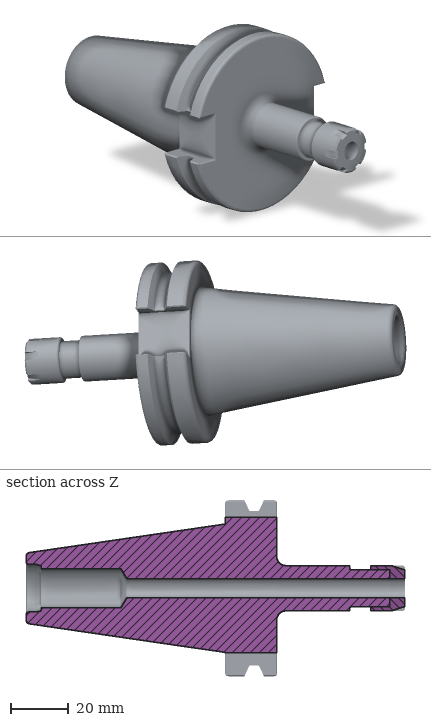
import cadquery as cq
import math


GAUGE_DIAMETER = 44.4
TAPER_LENGTH = 68.0
TAPER_SLOPE = 7 / 48
SMALL_END_RADIUS = GAUGE_DIAMETER / 2 - TAPER_LENGTH * TAPER_SLOPE
SMALL_END_FILLET = 1.6
COLLAR_RADIUS = 22.4
COLLAR_START = 68.8

FLANGE_START = 69.2
FLANGE_END = 87.2
FLANGE_RADIUS = 31.8
FLANGE_BACK_FILLET = 1.3
FLANGE_FRONT_FILLET = 1.0
GROOVE_CENTER = 79.3
GROOVE_WIDTH = 6.9
GROOVE_FLOOR_WIDTH = 3.3
GROOVE_FILLET = 0.5
GROOVE_FLOOR_RADIUS = 28.0

KEYWAY_WIDTH = 16.3
KEYWAY_CHAMFER = 0.4
KEYWAY_FLOOR_PLUS_Y = 24.8
KEYWAY_FLOOR_MINUS_Y = 22.5

SHANK_DIAMETER = 16.0
SHANK_END = 112.6
SHANK_ROOT_FILLET = 3.0
SHANK_END_FILLET = 0.5
NECK_ROOT_FILLET = 0.4
NECK_DIAMETER = 13.0
NECK_END = 126.5

THROUGH_DIAMETER = 6.6
MOUTH_DIAMETER = 18.0
MOUTH_STEP_DIAMETER = 16.7
MOUTH_STEP_START = 0.4
COUNTERBORE_DIAMETER = 16.3
COUNTERBORE_START = 1.0
COUNTERBORE_END = 3.8
SEAT_DIAMETER = 16.0
SEAT_START = 4.3
SEAT_DEPTH = 5.3
SEAT_FILLET = 0.5
REAR_BORE_DIAMETER = 13.5
REAR_BORE_DEPTH = 33
DRILL_POINT_ANGLE = 118

NUT_START = 119.6
NUT_END = 131.8
NUT_DIAMETER = 16.0
NUT_BACK_FILLET = 0.8
NUT_FRONT_CHAMFER = 0.7
SLOT_COUNT = 6
SLOT_WIDTH = 2.8
SLOT_LENGTH = 4.9
SLOT_DEPTH = 1.6


def cylinder(start, end, diameter):
    """Cylinder on the X axis between two X positions."""
    return cq.Workplane("YZ", origin=(start, 0, 0)).circle(diameter / 2).extrude(end - start)


def revolved(points):
    """Solid of revolution about the X axis from a closed (x, radius) outline."""
    return cq.Workplane("XY").polyline(points).close().revolve(360, (0, 0, 0), (1, 0, 0))


def concave_ring(start, radius, fillet):
    """Disc whose rim sweeps in along a concave arc, filleting a shoulder to a cylinder."""
    arc_offset = fillet * (1 - math.sqrt(0.5))
    return (
        cq.Workplane("XY")
        .moveTo(start, 0)
        .lineTo(start, radius + fillet)
        .threePointArc((start + arc_offset, radius + arc_offset), (start + fillet, radius))
        .lineTo(start + fillet, 0)
        .close()
        .revolve(360, (0, 0, 0), (1, 0, 0))
    )


def make_taper():
    taper = revolved([
        (0, 0),
        (0, SMALL_END_RADIUS),
        (TAPER_LENGTH, GAUGE_DIAMETER / 2),
        (COLLAR_START, COLLAR_RADIUS),
        (FLANGE_START, COLLAR_RADIUS),
        (FLANGE_START, 0),
    ])
    return taper.faces("<X").edges().fillet(SMALL_END_FILLET)


def make_flange():
    flange = cylinder(FLANGE_START, FLANGE_END, 2 * FLANGE_RADIUS)
    flange = flange.faces("<X").edges().fillet(FLANGE_BACK_FILLET)
    flange = flange.faces(">X").edges().fillet(FLANGE_FRONT_FILLET)
    groove = revolved([
        (GROOVE_CENTER - GROOVE_WIDTH / 2, FLANGE_RADIUS),
        (GROOVE_CENTER - GROOVE_FLOOR_WIDTH / 2, GROOVE_FLOOR_RADIUS),
        (GROOVE_CENTER + GROOVE_FLOOR_WIDTH / 2, GROOVE_FLOOR_RADIUS),
        (GROOVE_CENTER + GROOVE_WIDTH / 2, FLANGE_RADIUS),
    ])
    groove = groove.edges(cq.selectors.RadiusNthSelector(0)).fillet(GROOVE_FILLET)
    return flange.cut(groove)


def make_keyway(floor, side):
    """Cutter for one keyway; side is +1 or -1 along Y and floor its distance from the axis."""
    half_width = KEYWAY_WIDTH / 2
    wide_half = half_width + KEYWAY_CHAMFER
    middle = (FLANGE_START + FLANGE_END) / 2
    half_length = (FLANGE_END - FLANGE_START) / 2

    upper_wall = [
        (-half_length, wide_half),
        (-half_length + KEYWAY_CHAMFER, half_width),
        (half_length - KEYWAY_CHAMFER, half_width),
        (half_length, wide_half),
    ]
    lower_wall = [(x, -z) for x, z in reversed(upper_wall)]
    keyway = (
        cq.Workplane("XZ", origin=(middle, side * floor, 0))
        .polyline(upper_wall + lower_wall)
        .close()
        .extrude(-side * (FLANGE_RADIUS - floor))
    )

    rim_y = math.sqrt(FLANGE_RADIUS**2 - wide_half**2)
    flare_start = rim_y - KEYWAY_CHAMFER
    flare_half = half_width + FLANGE_RADIUS - flare_start
    flare = (
        cq.Workplane("YZ", origin=(FLANGE_START, 0, 0))
        .polyline([
            (side * flare_start, half_width),
            (side * FLANGE_RADIUS, flare_half),
            (side * FLANGE_RADIUS, -flare_half),
            (side * flare_start, -half_width),
        ])
        .close()
        .extrude(FLANGE_END - FLANGE_START)
    )
    return keyway.union(flare)


def make_shank():
    """Shank with its neck and concave fillets where each leaves the larger part behind it."""
    radius = SHANK_DIAMETER / 2
    shank = cylinder(FLANGE_END, SHANK_END, SHANK_DIAMETER)
    shank = shank.faces(">X").edges().fillet(SHANK_END_FILLET)
    neck = cylinder(SHANK_END, NECK_END, NECK_DIAMETER)
    shank = shank.union(concave_ring(FLANGE_END, radius, SHANK_ROOT_FILLET)).union(neck)
    return shank.union(concave_ring(SHANK_END, NECK_DIAMETER / 2, NECK_ROOT_FILLET))


def make_rear_bore():
    """Cutter for the chamfered counterbore, the stepped bore and its conical bottom."""
    bore_radius = REAR_BORE_DIAMETER / 2
    point_length = bore_radius / math.tan(math.radians(DRILL_POINT_ANGLE / 2))
    counterbore = revolved([
        (0, 0),
        (0, MOUTH_DIAMETER / 2),
        (MOUTH_STEP_START, MOUTH_STEP_DIAMETER / 2),
        (COUNTERBORE_START, COUNTERBORE_DIAMETER / 2),
        (COUNTERBORE_END, COUNTERBORE_DIAMETER / 2),
        (SEAT_START, SEAT_DIAMETER / 2),
        (SEAT_DEPTH, SEAT_DIAMETER / 2),
        (SEAT_DEPTH, 0),
    ])
    counterbore = counterbore.faces(">X").edges().fillet(SEAT_FILLET)
    bore = revolved([
        (0, 0),
        (0, bore_radius),
        (REAR_BORE_DEPTH, bore_radius),
        (REAR_BORE_DEPTH + point_length, 0),
    ])
    return counterbore.union(bore)


def make_holder():
    holder = make_taper().union(make_flange()).union(make_shank())
    holder = holder.cut(make_keyway(KEYWAY_FLOOR_PLUS_Y, 1))
    holder = holder.cut(make_keyway(KEYWAY_FLOOR_MINUS_Y, -1))
    holder = holder.cut(make_rear_bore())
    return holder.cut(cylinder(0, NECK_END, THROUGH_DIAMETER))


def make_wrench_slot():
    """Cutter for one slot: its floor runs from the nut's outer side inward to the front face."""
    radius = NUT_DIAMETER / 2
    return (
        cq.Workplane("XZ")
        .moveTo(NUT_END - SLOT_LENGTH, radius)
        .lineTo(NUT_END, radius)
        .lineTo(NUT_END, radius - SLOT_DEPTH)
        .close()
        .extrude(SLOT_WIDTH / 2, both=True)
    )


def make_nut():
    nut = cylinder(NUT_START, NUT_END, NUT_DIAMETER)
    nut = nut.faces("<X").edges().fillet(NUT_BACK_FILLET)
    nut = nut.faces(">X").edges().chamfer(NUT_FRONT_CHAMFER)
    nut = nut.cut(cylinder(NUT_START, NECK_END, NECK_DIAMETER))
    nut = nut.cut(cylinder(NECK_END, NUT_END, THROUGH_DIAMETER))
    for index in range(SLOT_COUNT):
        angle = 90 + index * 360 / SLOT_COUNT
        nut = nut.cut(make_wrench_slot().rotate((0, 0, 0), (1, 0, 0), angle))
    return nut


holder = make_holder()
nut = make_nut()
result = cq.Compound.makeCompound([holder.val(), nut.val()])